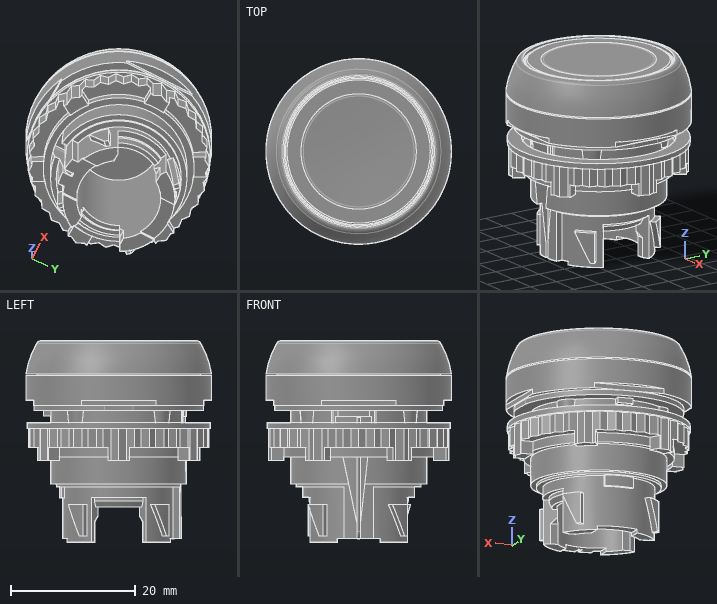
import cadquery as cq
import math


FOOT_NOTCH_TOP = 0.6
WINDOW_TOP = 7.25
LEG_TOP = 8.92
BARREL_BOTTOM = 9.35
NUT_BOTTOM = 13.73
NUT_TOP = 19.25
GASKET_BOTTOM = 21.2
GASKET_TOP = 22.03
FLAT_TOP = 22.85
CAP_SEAT = 25.3
HEAD_TOP = 26.85
BEZEL_BOTTOM = 27.05
COLLAR_TOP = 28.55
CAP_TOP = 32.3
BEZEL_TOP = 32.45

HEAD_DIAMETER = 29.9
HEAD_RADIUS = HEAD_DIAMETER / 2
COLLAR_RADIUS = 13.17
BARREL_RADIUS = 10.97
CAP_RADIUS = 11.78
LENS_RADIUS = 9.28
LENS_THICKNESS = 0.97
LEG_RADIUS = 9.02
RAIL_RADIUS = 10.05

BORE_RADIUS = 6.75
LEG_SLOT_WIDTH = 7.7
LEG_SLOT_ROOF_WIDTH = 6.62
LEG_SLOT_SIDE_TOP = 3.35
LEG_SLOT_ROOF = 4.25
HEAD_FLAT_DISTANCE = 13.7
WINDOW_HALF_ANGLE = 29.3
SILL_RADIUS = 8.0
SILL_BOTTOM_RADIUS = 7.53
SILL_CONE_TOP = 6.62
SILL_BOTTOM = 5.68
FOOT_NOTCH_WIDTH = 6.88
RAIL_WIDTH = 4.77
REAR_KEY_WIDTH = 4.87
REAR_KEY_RADIUS = 9.55
REAR_KEY_BOTTOM = 7.15
NOSE_WIDTH = 2.6
NOSE_REACH = 12.15
NOSE_BOTTOM = 20.3

BUTTRESS_ANGLES = [40, 140, 220, 320]
BUTTRESS_CENTER = 9.57
BUTTRESS_TOP_RADIUS = 2.1
BUTTRESS_BOTTOM_RADIUS = 1.88
BUTTRESS_BOTTOM = 18.65

HOOK_ANGLES = [42.5, 135, 225, 312.5]
HOOK_RADIUS = 9.95
HOOK_ROOT_DISTANCE = 8.6
HOOK_HALF_WIDTH = 1.65
HOOK_TIP_START = 0.95
HOOK_BOTTOM = 1.0
HOOK_TOP = 6.1

WIRE_RADIUS = 0.3
WIRE_Y = -9.5
WIRE_TOP = 20.12
WIRE_BOTTOM = 0.52
WIRE_BEND_RADIUS = 0.97
SLOT_FLOOR_RADIUS = 8.4
SLOT_LEFT = -3.7
SLOT_RIGHT = 2.08
SLOT_TOP = 20.25
SLOT_TAPER_BOTTOM = 3.15
NECK_PANEL_LEFT = -3.35
NECK_PANEL_RIGHT = 1.72
NECK_PANEL_DEPTH = 0.1
NECK_GROOVE_PLACES = [-4.25, 2.65]
NECK_GROOVE_WIDTH = 0.25
NECK_GROOVE_DEPTH = 0.25
NECK_GROOVE_BOTTOM = 18.65

FLANGE_RADIUS = 14.73
FLANGE_BOTTOM = 18.3
TEETH_BOTTOM = 15.25
LUG_BOTTOM = 13.15
TOOTH_COUNT = 36
TOOTH_TIP_RADIUS = 14.5
TOOTH_ROOT_RADIUS = 13.95
NUT_COLLAR_RADIUS = 12.15
NUT_RECESS_RADIUS = 12.4
NUT_RECESS_DEPTH = 1.3
LUG_COUNT = 6
LUG_WIDTH = 3.45

GASKET_RADIUS = 13.7
GASKET_FLAT_DISTANCE = 13.5

BEZEL_BORE_RADIUS = 11.97
BEZEL_LIP_RADIUS = 12.2
BEZEL_RIM_RADIUS = 12.43
BEZEL_LIP_DEPTH = 0.65
BEZEL_SHOULDER = (13.25, 31.95)
BEZEL_SHOULDER_MID = (12.9, 32.32)
BEZEL_SIDE_MID = (14.35, 29.53)
CAP_EDGE = 0.25
LENS_RIM = 0.35
DISH_DEPTH = 0.4

THROUGH = 38.95


def cylinder(radius, bottom, top):
    return cq.Workplane("XY").workplane(offset=bottom).circle(radius).extrude(top - bottom)


def tube(outer, inner, bottom, top):
    return cylinder(outer, bottom, top).cut(cylinder(inner, bottom, top))


def cone(bottom_radius, top_radius, bottom, top):
    return cq.Workplane(cq.Solid.makeCone(
        bottom_radius, top_radius, top - bottom, pnt=cq.Vector(0, 0, bottom)))


def box(x_range, y_range, z_range):
    (x0, x1), (y0, y1), (z0, z1) = x_range, y_range, z_range
    return cq.Workplane("XY").box(x1 - x0, y1 - y0, z1 - z0, centered=False).translate((x0, y0, z0))


def across(width):
    return (-width / 2, width / 2)


def turned(shape, angle):
    return shape.rotate((0, 0, 0), (0, 0, 1), angle)


def make_bezel():
    profile = (
        cq.Workplane("XZ")
        .moveTo(COLLAR_RADIUS, BEZEL_BOTTOM)
        .lineTo(HEAD_RADIUS, BEZEL_BOTTOM)
        .threePointArc(BEZEL_SIDE_MID, BEZEL_SHOULDER)
        .threePointArc(BEZEL_SHOULDER_MID, (BEZEL_RIM_RADIUS, BEZEL_TOP))
        .lineTo(BEZEL_LIP_RADIUS, BEZEL_TOP)
        .lineTo(BEZEL_LIP_RADIUS, BEZEL_TOP - BEZEL_LIP_DEPTH)
        .lineTo(BEZEL_BORE_RADIUS, BEZEL_TOP - BEZEL_LIP_DEPTH)
        .lineTo(BEZEL_BORE_RADIUS, COLLAR_TOP)
        .lineTo(COLLAR_RADIUS, COLLAR_TOP)
        .close()
    )
    return profile.revolve(360, (0, 0, 0), (0, 1, 0))


def make_cap():
    cap = cylinder(CAP_RADIUS, CAP_SEAT, CAP_TOP).faces(">Z").edges().chamfer(CAP_EDGE)
    return cap.cut(cylinder(LENS_RADIUS, CAP_TOP - LENS_THICKNESS, CAP_TOP))


def make_lens():
    dish_radius = LENS_RADIUS - LENS_RIM
    sphere_radius = (dish_radius**2 + DISH_DEPTH**2) / (2 * DISH_DEPTH)
    sphere = cq.Workplane("XY").sphere(sphere_radius)
    dish = sphere.translate((0, 0, CAP_TOP - DISH_DEPTH + sphere_radius))
    return cylinder(LENS_RADIUS, CAP_TOP - LENS_THICKNESS, CAP_TOP).cut(dish)


def make_gasket():
    gasket = tube(GASKET_RADIUS, BARREL_RADIUS, GASKET_BOTTOM, GASKET_TOP)
    flats = box(across(2 * GASKET_FLAT_DISTANCE), across(THROUGH), (GASKET_BOTTOM, GASKET_TOP))
    return gasket.intersect(flats)


def toothed_disc(bottom, top):
    points = []
    for i in range(2 * TOOTH_COUNT):
        radius = TOOTH_ROOT_RADIUS if i % 2 else TOOTH_TIP_RADIUS
        angle = math.pi * i / TOOTH_COUNT
        points.append((radius * math.cos(angle), radius * math.sin(angle)))
    return cq.Workplane("XY").workplane(offset=bottom).polyline(points).close().extrude(top - bottom)


def make_nut():
    nut = cylinder(FLANGE_RADIUS, FLANGE_BOTTOM, NUT_TOP)
    nut = nut.union(toothed_disc(TEETH_BOTTOM, FLANGE_BOTTOM))
    nut = nut.union(cylinder(NUT_COLLAR_RADIUS, NUT_BOTTOM, TEETH_BOTTOM))
    lug_ring = toothed_disc(LUG_BOTTOM, TEETH_BOTTOM)
    lug_ring = lug_ring.cut(cylinder(NUT_COLLAR_RADIUS, LUG_BOTTOM, TEETH_BOTTOM))
    lug_bar = box((0, THROUGH), across(LUG_WIDTH), (LUG_BOTTOM, TEETH_BOTTOM))
    for i in range(LUG_COUNT):
        nut = nut.union(lug_ring.intersect(turned(lug_bar, i * 360 / LUG_COUNT)))
    nut = nut.cut(cylinder(BARREL_RADIUS, LUG_BOTTOM, NUT_TOP))
    return nut.cut(cylinder(NUT_RECESS_RADIUS, NUT_TOP - NUT_RECESS_DEPTH, NUT_TOP))


def make_wire():
    bend_z = WIRE_BOTTOM + WIRE_RADIUS + WIRE_BEND_RADIUS
    bend_y = WIRE_Y + WIRE_BEND_RADIUS
    bend_offset = WIRE_BEND_RADIUS * math.sqrt(0.5)
    path = (
        cq.Workplane("YZ")
        .moveTo(WIRE_Y, WIRE_TOP)
        .lineTo(WIRE_Y, bend_z)
        .threePointArc((bend_y - bend_offset, bend_z - bend_offset), (bend_y, bend_z - WIRE_BEND_RADIUS))
    )
    section = cq.Workplane("XY").workplane(offset=WIRE_TOP).center(0, WIRE_Y).circle(WIRE_RADIUS)
    return section.sweep(path)


def head():
    rim = cylinder(HEAD_RADIUS, GASKET_TOP, HEAD_TOP)
    flats = box(across(2 * HEAD_FLAT_DISTANCE), across(2 * HEAD_FLAT_DISTANCE), (GASKET_TOP, FLAT_TOP))
    rim = rim.intersect(flats.union(cylinder(HEAD_RADIUS, FLAT_TOP, HEAD_TOP)))
    rim = rim.union(cylinder(COLLAR_RADIUS, HEAD_TOP, COLLAR_TOP))
    return rim.cut(cylinder(CAP_RADIUS, CAP_SEAT, COLLAR_TOP))


def barrel_and_legs():
    barrel = cylinder(BARREL_RADIUS, BARREL_BOTTOM, GASKET_TOP)
    barrel = barrel.union(cylinder(RAIL_RADIUS, LEG_TOP, BARREL_BOTTOM))
    barrel = barrel.union(cylinder(LEG_RADIUS, 0, LEG_TOP))
    rail_bar = box(across(RAIL_WIDTH), (-THROUGH, 0), (FOOT_NOTCH_TOP, LEG_TOP))
    barrel = barrel.union(cylinder(RAIL_RADIUS, FOOT_NOTCH_TOP, LEG_TOP).intersect(rail_bar))
    key_bar = box(across(REAR_KEY_WIDTH), (0, THROUGH), (REAR_KEY_BOTTOM, LEG_TOP))
    return barrel.union(cylinder(REAR_KEY_RADIUS, REAR_KEY_BOTTOM, LEG_TOP).intersect(key_bar))


def locating_nose():
    return box(across(NOSE_WIDTH), (BORE_RADIUS, NOSE_REACH), (NOSE_BOTTOM, GASKET_BOTTOM)).cut(
        cylinder(BORE_RADIUS, NOSE_BOTTOM, GASKET_BOTTOM))


def bore():
    return cylinder(BORE_RADIUS, 0, CAP_SEAT)


def leg_slot():
    """Slot along X between the legs, narrowing to its roof."""
    half_width = LEG_SLOT_WIDTH / 2
    half_roof = LEG_SLOT_ROOF_WIDTH / 2
    outline = [
        (-half_width, 0),
        (half_width, 0),
        (half_width, LEG_SLOT_SIDE_TOP),
        (half_roof, LEG_SLOT_ROOF),
        (-half_roof, LEG_SLOT_ROOF),
        (-half_width, LEG_SLOT_SIDE_TOP),
    ]
    return cq.Workplane("YZ").polyline(outline).close().extrude(LEG_RADIUS, both=True)


def side_windows():
    half_width = THROUGH * math.tan(math.radians(WINDOW_HALF_ANGLE))
    wedge = (
        cq.Workplane("XY")
        .polyline([(0, 0), (THROUGH, -half_width), (THROUGH, half_width)])
        .close()
        .extrude(WINDOW_TOP)
    )
    sill = cylinder(SILL_RADIUS, SILL_CONE_TOP, WINDOW_TOP)
    sill = sill.union(cone(SILL_BOTTOM_RADIUS, SILL_RADIUS, SILL_BOTTOM, SILL_CONE_TOP))
    window = wedge.cut(sill)
    return window.union(turned(window, 180))


def foot_notch():
    return box(across(FOOT_NOTCH_WIDTH), across(THROUGH), (0, FOOT_NOTCH_TOP))


def buttresses():
    buttress = cone(BUTTRESS_BOTTOM_RADIUS, BUTTRESS_TOP_RADIUS, BUTTRESS_BOTTOM, GASKET_BOTTOM)
    buttress = buttress.translate((BUTTRESS_CENTER, 0, 0))
    return [turned(buttress, angle) for angle in BUTTRESS_ANGLES]


def wire_slot():
    outline = [
        (SLOT_LEFT, SLOT_TOP),
        (SLOT_LEFT, NUT_TOP),
        (-WIRE_RADIUS, SLOT_TAPER_BOTTOM),
        (-WIRE_RADIUS, 0),
        (WIRE_RADIUS, 0),
        (WIRE_RADIUS, SLOT_TAPER_BOTTOM),
        (SLOT_RIGHT, NUT_TOP),
        (SLOT_RIGHT, SLOT_TOP),
    ]
    slot = cq.Workplane("XZ").polyline(outline).close().extrude(HEAD_RADIUS)
    return slot.cut(cylinder(SLOT_FLOOR_RADIUS, 0, SLOT_TOP))


def neck_recess(left, right, bottom, depth):
    """Shallow recess between two X positions on the -Y side of the neck, up to the gasket."""
    ring = tube(BARREL_RADIUS, BARREL_RADIUS - depth, bottom, GASKET_BOTTOM)
    return ring.intersect(box((left, right), (-BARREL_RADIUS, 0), (bottom, GASKET_BOTTOM)))


def neck_recesses():
    recesses = [neck_recess(NECK_PANEL_LEFT, NECK_PANEL_RIGHT, SLOT_TOP, NECK_PANEL_DEPTH)]
    for x in NECK_GROOVE_PLACES:
        low, high = across(NECK_GROOVE_WIDTH)
        recesses.append(neck_recess(x + low, x + high, NECK_GROOVE_BOTTOM, NECK_GROOVE_DEPTH))
    return recesses


def hook():
    """Ratchet hook on the +X axis: a round-faced pad with one slanting end."""
    outline = [
        (-HOOK_HALF_WIDTH, HOOK_TOP),
        (HOOK_HALF_WIDTH, HOOK_TOP),
        (HOOK_HALF_WIDTH, HOOK_BOTTOM),
        (HOOK_TIP_START, HOOK_BOTTOM),
    ]
    pad = cq.Workplane("YZ").workplane(offset=HOOK_ROOT_DISTANCE).polyline(outline).close()
    pad = pad.extrude(HOOK_RADIUS - HOOK_ROOT_DISTANCE)
    return pad.intersect(cylinder(HOOK_RADIUS, HOOK_BOTTOM, HOOK_TOP))


def make_housing():
    housing = head().union(barrel_and_legs()).union(locating_nose())
    for buttress in buttresses():
        housing = housing.union(buttress)
    housing = housing.cut(bore()).cut(leg_slot()).cut(side_windows()).cut(foot_notch()).cut(wire_slot())
    for recess in neck_recesses():
        housing = housing.cut(recess)
    for angle in HOOK_ANGLES:
        housing = housing.union(turned(hook(), angle))
    return housing


bezel = make_bezel()
cap = make_cap()
lens = make_lens()
gasket = make_gasket()
nut = make_nut()
wire = make_wire()
housing = make_housing().cut(wire)

result = cq.Compound.makeCompound([
    bezel.val(),
    cap.val(),
    lens.val(),
    gasket.val(),
    nut.val(),
    wire.val(),
    *housing.vals(),
])